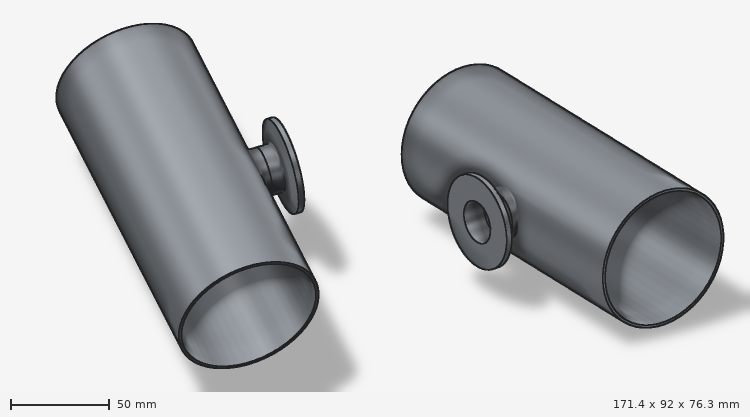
import cadquery as cq

pipe_length = 171.4
pipe_diameter = 76.3
pipe_radius = pipe_diameter / 2
pipe_wall = 1.5

branch_height = 1.5
overall_depth = 92.0
branch_reach = overall_depth - pipe_radius
neck_radius = 12.9
neck_wall = 1.5
bore_radius = neck_radius - neck_wall
collar_fillet = 1.2

ferrule_length = 12.7
flange_radius = 25.2
flange_rim = 3.3
flange_thickness = 5.1
flange_back_radius = 19.4
neck_fillet = 1.5

joint_y = branch_reach - ferrule_length


def branch_cylinder(radius, start_y, end_y):
    """Cylinder on the branch axis between two distances from the pipe axis."""
    plane = cq.Plane(origin=(0, start_y, branch_height), xDir=(1, 0, 0), normal=(0, 1, 0))
    return cq.Workplane(plane).circle(radius).extrude(end_y - start_y)


def pipe_cylinder(radius):
    """Full-length cylinder on the pipe axis."""
    return cq.Workplane("YZ").circle(radius).extrude(pipe_length / 2, both=True)


def make_pipe():
    """Pipe with a short branch collar that is blended into its wall."""
    collar = branch_cylinder(neck_radius, 0, joint_y)
    body = pipe_cylinder(pipe_radius).union(collar)
    saddle_zone = cq.selectors.BoxSelector(
        (-flange_radius, pipe_radius / 2, -flange_radius),
        (flange_radius, pipe_radius + collar_fillet, flange_radius),
        boundingbox=True,
    )
    body = body.edges(saddle_zone).fillet(collar_fillet)
    body = body.cut(pipe_cylinder(pipe_radius - pipe_wall))
    return body.cut(branch_cylinder(bore_radius, 0, joint_y))


def make_ferrule():
    """Clamp ferrule: a flange with a tapered back on a tubular neck."""
    rim_y = branch_reach - flange_rim
    back_y = branch_reach - flange_thickness
    fillet_y = back_y - neck_fillet
    profile = (
        cq.Workplane("XY", origin=(0, 0, branch_height))
        .moveTo(bore_radius, joint_y)
        .lineTo(bore_radius, branch_reach)
        .lineTo(flange_radius, branch_reach)
        .lineTo(flange_radius, rim_y)
        .lineTo(flange_back_radius, back_y)
        .lineTo(neck_radius + neck_fillet, back_y)
        .radiusArc((neck_radius, fillet_y), -neck_fillet)
        .lineTo(neck_radius, joint_y)
        .close()
    )
    return profile.revolve(360, (0, 0, 0), (0, 1, 0))


pipe = make_pipe()
ferrule = make_ferrule()

result = cq.Compound.makeCompound([pipe.val(), ferrule.val()])